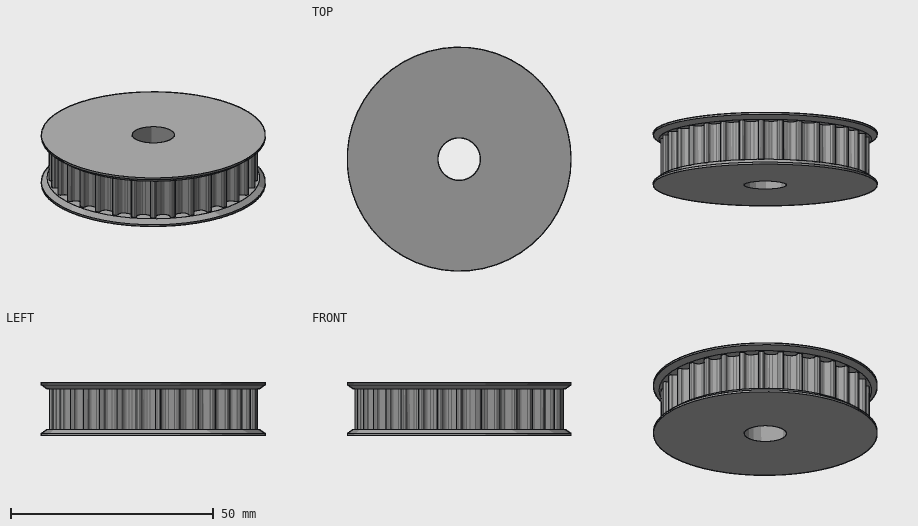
import cadquery as cq
import math

tooth_count = 33
belt_pitch = 5.0
pitch_line_offset = 0.5715
pulley_height = 13.0
bore_diameter = 10.4

flange_diameter = 55.23
flange_thickness = 1.5
flange_rim_height = 0.5
flange_land_radius = 26.2

groove_opening = 4.34
groove_depth = 2.06
groove_floor_width = 0.76
tip_round_radius = 0.45

pitch_radius = tooth_count * belt_pitch / (2 * math.pi)
tip_radius = pitch_radius - pitch_line_offset
flange_radius = flange_diameter / 2


def make_flanged_blank():
    """Revolve the plain pulley: a drum between two flanges with conical inner faces."""
    lower_land = flange_thickness
    upper_land = pulley_height - flange_thickness
    profile = [
        (bore_diameter / 2, 0),
        (flange_radius, 0),
        (flange_radius, flange_rim_height),
        (flange_land_radius, lower_land),
        (tip_radius, lower_land),
        (tip_radius, upper_land),
        (flange_land_radius, upper_land),
        (flange_radius, pulley_height - flange_rim_height),
        (flange_radius, pulley_height),
        (bore_diameter / 2, pulley_height),
    ]
    return cq.Workplane("XZ").polyline(profile).close().revolve(360, (0, 0, 0), (0, 1, 0))


def make_groove_cutter():
    """Prism for one groove, opening towards +Y: rounded tooth tips, straight walls, rounded floor corners."""
    half_opening = groove_opening / 2
    half_width = half_opening - tip_round_radius
    half_floor = groove_floor_width / 2
    corner_radius = half_width - half_floor
    arc_middle = math.sin(math.pi / 4)

    mouth_y = math.sqrt(tip_radius**2 - half_opening**2)
    wall_top_y = mouth_y - tip_round_radius
    floor_y = tip_radius - groove_depth
    wall_bottom_y = floor_y + corner_radius
    clear_y = tip_radius + tip_round_radius

    tip_middle_x = half_opening - tip_round_radius * arc_middle
    tip_middle_y = wall_top_y + tip_round_radius * arc_middle
    corner_middle_x = half_floor + corner_radius * arc_middle
    corner_middle_y = wall_bottom_y - corner_radius * arc_middle

    return (
        cq.Workplane("XY")
        .workplane(offset=flange_thickness)
        .moveTo(-half_opening, clear_y)
        .lineTo(-half_opening, mouth_y)
        .threePointArc((-tip_middle_x, tip_middle_y), (-half_width, wall_top_y))
        .lineTo(-half_width, wall_bottom_y)
        .threePointArc((-corner_middle_x, corner_middle_y), (-half_floor, floor_y))
        .lineTo(half_floor, floor_y)
        .threePointArc((corner_middle_x, corner_middle_y), (half_width, wall_bottom_y))
        .lineTo(half_width, wall_top_y)
        .threePointArc((tip_middle_x, tip_middle_y), (half_opening, mouth_y))
        .lineTo(half_opening, clear_y)
        .close()
        .extrude(pulley_height - 2 * flange_thickness)
    )


def cut_grooves(blank):
    """Cut the grooves evenly around the drum, between the flanges, starting on the +Y axis."""
    cutter = make_groove_cutter()
    grooves = cq.Workplane("XY")
    for index in range(tooth_count):
        angle = index * 360 / tooth_count
        grooves = grooves.add(cutter.rotate((0, 0, 0), (0, 0, 1), angle))
    return blank.cut(cq.Workplane(cq.Compound.makeCompound(grooves.vals())))


result = cut_grooves(make_flanged_blank())